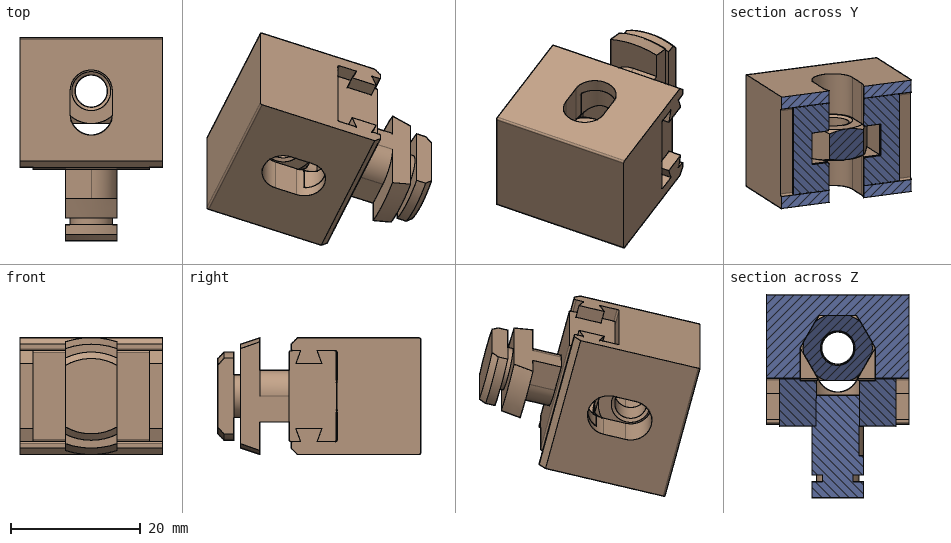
import cadquery as cq
import math


housing_width = 22.0
housing_length = 20.0
housing_height = 18.0
lip_chamfer = 1.0
edge_radius = 0.3

channel_height = 14.0
channel_depth = 7.1
rib_height = 2.0
rib_root_width = 2.55
rib_center_y = 2.75
rib_flank_angle = 20.0

slide_width = 18.0
slide_clearance = 0.1
slide_front_y = -0.3

slot_width = 6.5
slot_length = 10.0
slot_back_y = 15.0

nut_width_across_flats = 10.0
nut_width_across_corners = nut_width_across_flats / math.cos(math.radians(30))
nut_height = 5.0
nut_hole_diameter = 4.92
nut_countersink_diameter = 6.0
nut_chamfer_angle = 30.0
nut_center_y = slot_back_y - slot_width / 2
nut_front_y = nut_center_y - nut_width_across_flats / 2

bolt_width = 8.0
shank_end_y = 4.5
tip_y = -11.3
neck_diameter = 6.6
neck_length = 1.0
head_height = 13.6
head_thickness = 2.5
head_chamfer = 1.0
head_arc_radius = 9.0
flange_height = 18.0
flange_thickness = 3.0
flange_taper = 1.0
flange_arc_radius = 13.0
head_back_y = tip_y + head_thickness
flange_front_y = head_back_y + neck_length
flange_back_y = flange_front_y + flange_thickness


def box(width, height, y_front, y_back):
    """Block centred on the bolt axis."""
    return cq.Workplane("XY").box(width, y_back - y_front, height).translate((0, (y_front + y_back) / 2, 0))


def cylinder(diameter, y_front, y_back):
    """Round bar on the bolt axis."""
    return cq.Workplane("XZ", origin=(0, y_back, 0)).circle(diameter / 2).extrude(y_back - y_front)


def dovetail_rib():
    """Upper rib, narrow at the channel ceiling and wide at its tip."""
    root_z = channel_height / 2
    tip_z = root_z - rib_height
    root_half = rib_root_width / 2
    tip_half = root_half + rib_height * math.tan(math.radians(rib_flank_angle))
    outline = [
        (rib_center_y - root_half, root_z),
        (rib_center_y - tip_half, tip_z),
        (rib_center_y + tip_half, tip_z),
        (rib_center_y + root_half, root_z),
    ]
    return cq.Workplane("YZ").polyline(outline).close().extrude(housing_width / 2, both=True)


def dovetail_ribs():
    upper_rib = dovetail_rib()
    return upper_rib.union(upper_rib.mirror("XY"))


def adjusting_slot():
    return (
        cq.Workplane("XY", origin=(0, slot_back_y - slot_length / 2, 0))
        .slot2D(slot_length, slot_width, 90)
        .extrude(housing_height / 2, both=True)
    )


def make_housing():
    body = box(housing_width, housing_height, 0, housing_length)
    body = body.faces(">Y").edges("|X").fillet(edge_radius)
    body = body.faces("<Y").edges("|X").chamfer(lip_chamfer)
    channel = box(housing_width, channel_height, 0, channel_depth)
    channel = channel.faces(">Y").edges("|X").fillet(edge_radius)
    body = body.cut(channel)
    lip_inner_edges = cq.selectors.BoxSelector(
        (-housing_width, -edge_radius, -channel_height / 2 - edge_radius),
        (housing_width, edge_radius, channel_height / 2 + edge_radius),
    )
    body = body.edges("|X").edges(lip_inner_edges).fillet(edge_radius)
    return body.union(dovetail_ribs()).cut(nut_pocket()).cut(adjusting_slot())


def make_slide():
    body = box(slide_width, channel_height, slide_front_y, channel_depth - slide_clearance)
    body = body.edges("|X").fillet(edge_radius)
    shank_hole = cylinder(bolt_width, slide_front_y, channel_depth)
    return body.cut(dovetail_ribs()).cut(shank_hole).cut(nut_pocket()).cut(adjusting_slot())


def nut_blank():
    """Plain hexagonal prism with flats toward +Y and -Y."""
    return (
        cq.Workplane("XY", origin=(0, nut_center_y, 0))
        .polygon(6, nut_width_across_corners)
        .extrude(nut_height / 2, both=True)
    )


def nut_pocket():
    """Hexagonal seat widened straight out toward the channel, as far as the nut's front flat."""
    return nut_blank().union(box(nut_width_across_corners, nut_height, nut_front_y, nut_center_y))


def make_nut():
    slope = math.tan(math.radians(nut_chamfer_angle))
    flat_radius = nut_width_across_flats / 2
    corner_radius = nut_width_across_corners / 2
    countersink_radius = nut_countersink_diameter / 2
    hole_radius = nut_hole_diameter / 2
    top_z = nut_height / 2
    corner_z = top_z - (corner_radius - flat_radius) * slope
    hole_edge_z = top_z - (countersink_radius - hole_radius) * slope
    ring_outline = [
        (hole_radius, -hole_edge_z),
        (countersink_radius, -top_z),
        (flat_radius, -top_z),
        (corner_radius, -corner_z),
        (corner_radius, corner_z),
        (flat_radius, top_z),
        (countersink_radius, top_z),
        (hole_radius, hole_edge_z),
    ]
    ring = cq.Workplane("XZ").polyline(ring_outline).close().revolve(360, (0, 0, 0), (0, 1, 0))
    return nut_blank().intersect(ring.translate((0, nut_center_y, 0)))


def arched_plate(height, arc_radius, y_front, y_back, taper):
    """Plate with an arched top and bottom that lean inward by taper toward the front."""
    outline = [
        (0, y_front),
        (arc_radius - taper, y_front),
        (arc_radius, y_back),
        (0, y_back),
    ]
    top_arch = cq.Workplane("XY").polyline(outline).close().revolve(360, (0, 0, 0), (0, 1, 0))
    top_arch = top_arch.translate((0, 0, height / 2 - arc_radius))
    plate = box(bolt_width, height, y_front, y_back)
    return plate.intersect(top_arch).intersect(top_arch.mirror("XY"))


def make_bolt():
    chamfer_back_y = tip_y + head_chamfer
    head_front = arched_plate(head_height, head_arc_radius, tip_y, chamfer_back_y, head_chamfer)
    head_back = arched_plate(head_height, head_arc_radius, chamfer_back_y, head_back_y, 0)
    head = head_front.union(head_back)
    neck = cylinder(neck_diameter, head_back_y, flange_front_y)
    flange = arched_plate(flange_height, flange_arc_radius, flange_front_y, flange_back_y, flange_taper)
    shank = cylinder(bolt_width, flange_back_y, shank_end_y)
    half_width = bolt_width / 2
    quarter = box(half_width, half_width, flange_back_y, slide_front_y)
    for side in (-1, 1):
        shank = shank.union(quarter.translate((side * half_width / 2, 0, -side * half_width / 2)))
    return head.union(neck).union(flange).union(shank)


housing = make_housing()
slide = make_slide()
nut = make_nut()
bolt = make_bolt()

result = cq.Compound.makeCompound([housing.val(), slide.val(), nut.val(), bolt.val()])